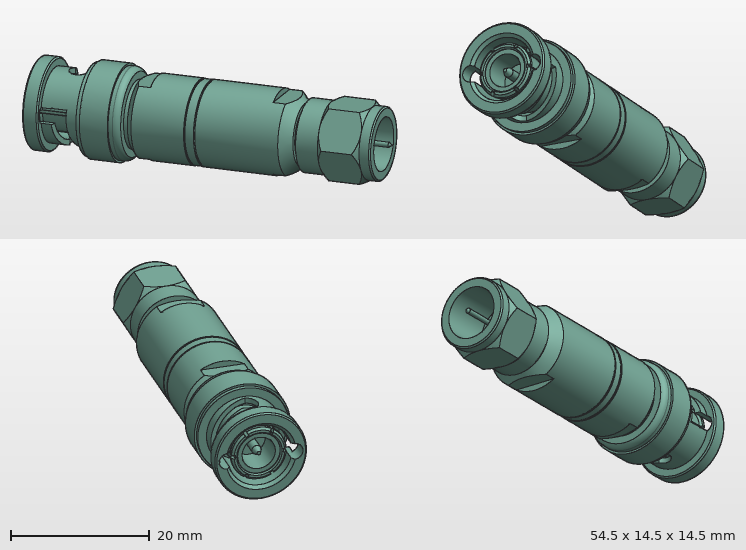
import cadquery as cq
import math


length = 54.5

flange_radius = 6.9
flange_end = 2.4
flange_chamfer = 0.2
barrel_radius = 5.6
sleeve_bore_radius = 4.8
bore_chamfer = 0.5
collar_start = 8.35
collar_rim_radius = 6.9
grip_start = 9.0
grip_end = 13.3
grip_radius = 7.25
rim_end = 13.95
sleeve_end = 15.0
collar_fillet = 1.2
collar_end_radius = 6.25

entry_radius = 1.25
entry_offset = 5.05
ramp_angle = 15.0
ramp_width = 2.3
lock_x = 6.2
lock_radius = 1.5

spigot_start = 9.0
neck_radius = 5.1
body_start = 15.7
body_radius = 6.4
front_chamfer = 0.9
rear_cone_start = 39.3
body_end = 41.0
groove_size = 0.2
groove_starts = (24.75, 26.25)
band_radius = 6.3
wrench_flat_height = 5.45
front_flat_end = 18.4
rear_flat_start = 37.4

contact_tip = 0.8
contact_base = 5.85
contact_base_radius = 3.85
finger_radius = 3.8
lip_radius = 4.15
lip_length = 0.8
lip_chamfer = 0.3
tip_bevel = 0.2
contact_bore_radius = 3.2
insulator_face = 1.15
insulator_bore_radius = 2.5
finger_count = 6
slit_width = 0.5
slit_inner_radius = 3.6
slit_outer_radius = sleeve_bore_radius

bayonet_pin_radius = 0.7
bayonet_pin_tip_radius = 0.25
bayonet_pin_start = 1.1
bayonet_pin_taper = 1.1
screw_pin_radius = 0.4
screw_pin_taper = 0.5

shank_radius = 4.0
nut_start = 41.7
hex_start = 45.05
hex_end = 51.5
nut_end = 53.2
nut_radius = 5.45
nut_edge_chamfer = 0.2
hex_corner_radius = nut_radius / math.cos(math.pi / 6)
hex_corner_rise = hex_corner_radius - nut_radius


def turned(profile):
    """Solid of revolution about X from (x, radius) points."""
    return cq.Workplane("XY").polyline(profile).close().revolve(360, (0, 0, 0), (1, 0, 0))


def x_cylinder(start, end, radius):
    return cq.Workplane("YZ", origin=(start, 0, 0)).circle(radius).extrude(end - start)


def bayonet_channel():
    """Channel that enters at +Y and climbs to a locking hole at +Z."""
    entry = x_cylinder(0, lock_x, entry_radius).translate((0, entry_offset, 0))

    slope = math.tan(math.radians(ramp_angle))
    width_along_x = ramp_width / math.cos(math.radians(ramp_angle))
    rear_x = lock_x + lock_radius / math.cos(math.radians(ramp_angle))
    front_x = rear_x - width_along_x
    outer_y = flange_radius
    shift = outer_y * slope
    ramp = (
        cq.Workplane("XY", origin=(0, 0, -entry_radius))
        .polyline([
            (front_x, 0),
            (rear_x, 0),
            (rear_x - shift, outer_y),
            (front_x - shift, outer_y),
        ])
        .close()
        .extrude(flange_radius + entry_radius)
    )
    behind_flange = x_cylinder(flange_end, collar_start, flange_radius)
    lock = cq.Workplane("XY").center(lock_x, 0).circle(lock_radius).extrude(flange_radius)

    rear_of_ramp = (
        cq.Workplane("XY", origin=(0, 0, -entry_radius))
        .polyline([
            (rear_x, 0),
            (length, 0),
            (length, outer_y),
            (rear_x - shift, outer_y),
        ])
        .close()
        .extrude(2 * entry_radius)
    )
    return entry.cut(rear_of_ramp).union(ramp.intersect(behind_flange)).union(lock)


def make_bayonet_sleeve():
    outline = (
        cq.Workplane("XY")
        .moveTo(0, sleeve_bore_radius + bore_chamfer)
        .lineTo(0, flange_radius - flange_chamfer)
        .lineTo(flange_chamfer, flange_radius)
        .lineTo(flange_end - flange_chamfer, flange_radius)
        .lineTo(flange_end, flange_radius - flange_chamfer)
        .lineTo(flange_end, barrel_radius)
        .lineTo(collar_start, barrel_radius)
        .lineTo(collar_start, collar_rim_radius)
        .lineTo(grip_start, collar_rim_radius)
        .lineTo(grip_start, grip_radius)
        .lineTo(grip_end, grip_radius)
        .lineTo(grip_end, collar_rim_radius)
        .lineTo(rim_end, collar_rim_radius)
        .radiusArc((sleeve_end, collar_end_radius), collar_fillet)
        .lineTo(sleeve_end, sleeve_bore_radius)
        .lineTo(bore_chamfer, sleeve_bore_radius)
        .close()
    )
    sleeve = outline.revolve(360, (0, 0, 0), (1, 0, 0))
    for turn in (0, 180):
        sleeve = sleeve.cut(bayonet_channel().rotate((0, 0, 0), (1, 0, 0), turn))
    return sleeve


def make_barrel():
    """Turned barrel with spigot, neck, wrench flats, V-grooves and rear shank."""
    rear_cone = body_end - rear_cone_start
    barrel = turned([
        (contact_base, 0),
        (contact_base, contact_base_radius),
        (spigot_start, contact_base_radius),
        (spigot_start, sleeve_bore_radius),
        (sleeve_end, sleeve_bore_radius),
        (sleeve_end, neck_radius),
        (body_start, neck_radius),
        (body_start, body_radius - front_chamfer),
        (body_start + front_chamfer, body_radius),
        (rear_cone_start, body_radius),
        (body_end, body_radius - rear_cone),
        (body_end, shank_radius),
        (hex_start, shank_radius),
        (hex_start, 0),
    ])
    first_groove, last_groove = groove_starts
    around_band = turned([
        (first_groove, band_radius),
        (first_groove, grip_radius),
        (last_groove, grip_radius),
        (last_groove, band_radius),
    ])
    barrel = barrel.cut(around_band)
    for start in groove_starts:
        barrel = barrel.cut(turned([
            (start, body_radius),
            (start + groove_size / 2, body_radius - groove_size),
            (start + groove_size, body_radius),
        ]))
    for start, end in ((body_start, front_flat_end), (rear_flat_start, body_end)):
        for side in (1, -1):
            middle = ((start + end) / 2, 0, side * (wrench_flat_height + body_radius / 2))
            block = cq.Workplane("XY").box(end - start, 2 * body_radius, body_radius).translate(middle)
            barrel = barrel.cut(block)
    return barrel


def make_outer_contact():
    """Lipped tube split into spring fingers around the insulator."""
    tube = turned([
        (contact_tip, contact_bore_radius + tip_bevel),
        (contact_tip, lip_radius - lip_chamfer),
        (contact_tip + lip_chamfer, lip_radius),
        (contact_tip + lip_length, lip_radius),
        (contact_tip + lip_length + lip_chamfer, finger_radius),
        (contact_base, finger_radius),
        (contact_base, contact_bore_radius),
        (contact_tip + tip_bevel, contact_bore_radius),
    ])
    slit_depth = slit_outer_radius - slit_inner_radius
    slit = (
        cq.Workplane("XY")
        .box(contact_base - contact_tip, slit_depth, slit_width, centered=(False, False, True))
        .translate((contact_tip, slit_inner_radius, 0))
    )
    for index in range(finger_count):
        tube = tube.cut(slit.rotate((0, 0, 0), (1, 0, 0), index * 360 / finger_count))
    insulator = x_cylinder(insulator_face, contact_base, contact_bore_radius)
    bore = x_cylinder(insulator_face, contact_base, insulator_bore_radius)
    return tube.union(insulator.cut(bore))


def make_bayonet_pin():
    return turned([
        (bayonet_pin_start, 0),
        (bayonet_pin_start, bayonet_pin_tip_radius),
        (bayonet_pin_start + bayonet_pin_taper, bayonet_pin_radius),
        (contact_base, bayonet_pin_radius),
        (contact_base, 0),
    ])


def make_screw_pin():
    return turned([
        (hex_start, 0),
        (hex_start, screw_pin_radius),
        (length - screw_pin_taper, screw_pin_radius),
        (length, 0),
    ])


def make_body():
    return (
        make_barrel()
        .union(make_outer_contact())
        .union(make_bayonet_pin())
        .union(make_screw_pin())
    )


def make_hex_nut():
    collar = turned([
        (nut_start, 0),
        (nut_start, nut_radius),
        (nut_end - nut_edge_chamfer, nut_radius),
        (nut_end, nut_radius - nut_edge_chamfer),
        (nut_end, 0),
    ])
    hexagon = (
        cq.Workplane("YZ", origin=(hex_start, 0, 0))
        .polygon(6, 2 * hex_corner_radius)
        .extrude(hex_end - hex_start)
    )
    bevel = turned([
        (hex_start, 0),
        (hex_start, nut_radius),
        (hex_start + hex_corner_rise, hex_corner_radius),
        (hex_end - hex_corner_rise, hex_corner_radius),
        (hex_end, nut_radius),
        (hex_end, 0),
    ])
    bore = x_cylinder(nut_start, nut_end, shank_radius)
    return collar.union(hexagon.intersect(bevel)).cut(bore)


bayonet_sleeve = make_bayonet_sleeve()
body = make_body()
hex_nut = make_hex_nut()

result = cq.Compound.makeCompound([bayonet_sleeve.val(), body.val(), hex_nut.val()])